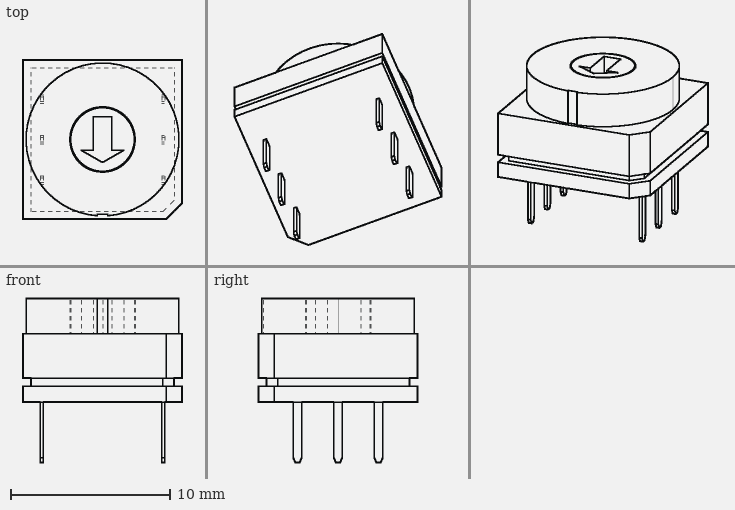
import cadquery as cq

total_height = 10.3
body_width = 10.0
corner_chamfer = 1.0

base_height = 1.0
neck_height = 0.5
body_height = 2.8
dial_height = 2.2
pin_length = total_height - base_height - neck_height - body_height - dial_height

neck_inset = 0.5

dial_diameter = 9.6
notch_width = 0.63
notch_depth = 0.1

rotor_diameter = 4.0
rotor_bore_diameter = 4.1

arrow_length = 2.88
arrow_head_length = 0.75
arrow_head_width = 2.64
arrow_shaft_width = 1.13

pin_thickness = 0.21
pin_width = 0.55
pin_tip_width = 0.28
pin_taper_height = 0.3
pin_pitch = 2.54
pins_per_row = 3
row_spacing = 3 * pin_pitch

neck_z = base_height
body_z = neck_z + neck_height
dial_z = body_z + body_height


def housing_outline(z):
    """Square with one cut corner at +X, -Y, at height z."""
    half = body_width / 2
    return (
        cq.Workplane("XY", origin=(0, 0, z))
        .moveTo(-half, -half)
        .lineTo(half - corner_chamfer, -half)
        .lineTo(half, -half + corner_chamfer)
        .lineTo(half, half)
        .lineTo(-half, half)
        .close()
    )


def make_housing():
    base = housing_outline(0).extrude(base_height)
    neck = housing_outline(neck_z).offset2D(-neck_inset).extrude(neck_height)
    body = housing_outline(body_z).extrude(body_height)
    return base.union(neck).union(body)


def make_arrow_pocket():
    """Arrow as deep as the dial, centred on the dial axis."""
    tip_y = -arrow_length / 2
    shoulder_y = tip_y + arrow_head_length
    tail_y = arrow_length / 2
    half_shaft = arrow_shaft_width / 2
    half_head = arrow_head_width / 2
    outline = [
        (0, tip_y),
        (half_head, shoulder_y),
        (half_shaft, shoulder_y),
        (half_shaft, tail_y),
        (-half_shaft, tail_y),
        (-half_shaft, shoulder_y),
        (-half_head, shoulder_y),
    ]
    return cq.Workplane("XY", origin=(0, 0, dial_z)).polyline(outline).close().extrude(dial_height)


def make_dial():
    ring = (
        cq.Workplane("XY", origin=(0, 0, dial_z))
        .circle(dial_diameter / 2)
        .circle(rotor_bore_diameter / 2)
        .extrude(dial_height)
    )
    notch = (
        cq.Workplane("XY", origin=(0, -dial_diameter / 2, dial_z))
        .rect(notch_width, 2 * notch_depth)
        .extrude(dial_height)
    )
    rotor = (
        cq.Workplane("XY", origin=(0, 0, dial_z))
        .circle(rotor_diameter / 2)
        .extrude(dial_height)
    )
    return ring.cut(notch).union(rotor.cut(make_arrow_pocket()))


def make_pin(x, y):
    """Flat pin hanging from the base, narrowed towards its tip."""
    half_width = pin_width / 2
    half_tip = pin_tip_width / 2
    taper_z = pin_taper_height - pin_length
    outline = [
        (-half_width, 0),
        (-half_width, taper_z),
        (-half_tip, -pin_length),
        (half_tip, -pin_length),
        (half_width, taper_z),
        (half_width, 0),
    ]
    return (
        cq.Workplane("YZ", origin=(x, y, 0))
        .polyline(outline)
        .close()
        .extrude(pin_thickness / 2, both=True)
    )


result = make_housing().union(make_dial())
for row_x in (-row_spacing / 2, row_spacing / 2):
    for index in range(pins_per_row):
        pin_y = (index - (pins_per_row - 1) / 2) * pin_pitch
        result = result.union(make_pin(row_x, pin_y))